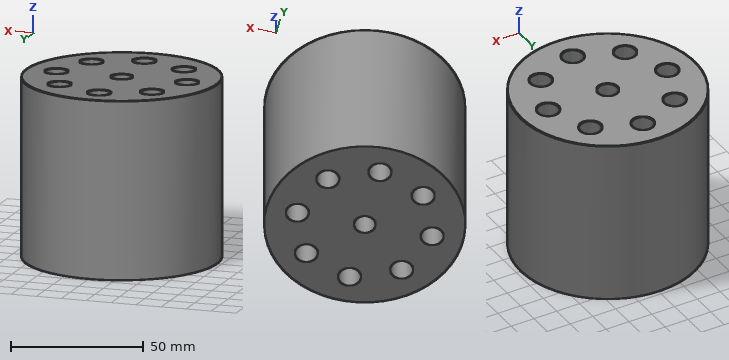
import cadquery as cq

body_diameter = 76.2
body_height = 70.0

center_hole_diameter = 8.18
ring_hole_diameter = 8.7
ring_hole_count = 8
ring_radius = 26.15

edge_break = 0.25


def make_body():
    """Cylinder standing on Z = 0 with a chamfered top rim."""
    cylinder = cq.Workplane("XY").circle(body_diameter / 2).extrude(body_height)
    return cylinder.faces(">Z").edges().chamfer(edge_break)


def make_hole_cutter(diameter):
    """Solid removed by one through hole on the Z axis, flared at the top face."""
    radius = diameter / 2
    mouth_radius = radius + edge_break
    half_section = (
        cq.Workplane("XZ")
        .lineTo(radius, 0)
        .lineTo(radius, body_height - edge_break)
        .lineTo(mouth_radius, body_height)
        .lineTo(0, body_height)
        .close()
    )
    return half_section.revolve(360, (0, 0, 0), (0, 1, 0))


def cut_center_hole(part):
    return part.cut(make_hole_cutter(center_hole_diameter))


def cut_ring_holes(part):
    """Equally spaced holes on a circle, the first one on the +X axis."""
    first_cutter = make_hole_cutter(ring_hole_diameter).translate((ring_radius, 0, 0))
    angle_step = 360 / ring_hole_count
    for index in range(ring_hole_count):
        cutter = first_cutter.rotate((0, 0, 0), (0, 0, 1), index * angle_step)
        part = part.cut(cutter)
    return part


result = cut_ring_holes(cut_center_hole(make_body()))